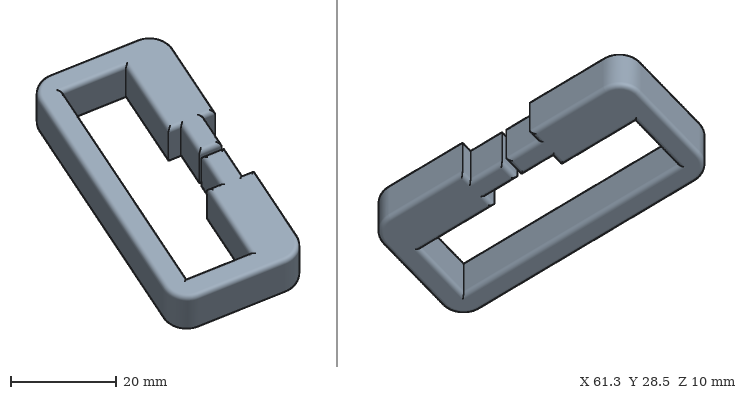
import cadquery as cq

length = 61.3
depth = 28.5
height = 10.0
corner_radius = 4.95
edge_radius = 1.0

side_wall = 5.0
front_wall = 4.95
rear_bar_depth = 10.05
jaw_spacing = 16.0
tongue_depth = 4.85
tongue_setback = 2.5
tongue_gap = 0.9

window_length = length - 2 * side_wall
window_depth = depth - front_wall - rear_bar_depth
window_y = (front_wall - rear_bar_depth) / 2
rear_bar_y = (depth - rear_bar_depth) / 2
tongue_y = (depth - tongue_depth) / 2 - tongue_setback


def block(size_x, size_y, y):
    """Full-height block centred on X = 0 at the given Y."""
    return cq.Workplane("XY").center(0, y).rect(size_x, size_y).extrude(height)


frame = block(length, depth, 0).edges("|Z").fillet(corner_radius)
frame = frame.cut(block(window_length, window_depth, window_y))

frame = frame.cut(block(jaw_spacing, rear_bar_depth, rear_bar_y))
frame = frame.union(block(jaw_spacing, tongue_depth, tongue_y))
frame = frame.cut(block(tongue_gap, rear_bar_depth, rear_bar_y))

result = frame.faces("<Z or >Z").edges().fillet(edge_radius)